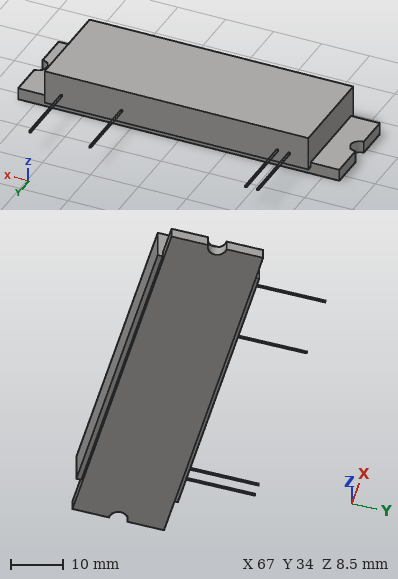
import cadquery as cq

base_length = 67.0
base_width = 18.0
base_height = 2.5
notch_radius = 1.8

overall_height = 8.5
housing_length = 55.0
housing_width = 19.95
housing_bottom = 1.5
housing_height = overall_height - housing_bottom

overall_depth = 34.0
pin_diameter = 0.4
pin_length = overall_depth - housing_width
pin_height = 4.0
first_pin_x = -23.5
pin_gaps = [2.5, 32.5, 12.5]
pin_positions = [first_pin_x + sum(pin_gaps[:index]) for index in range(len(pin_gaps) + 1)]
pin_embed = 0.7


def make_base():
    """Flat plate centred on Z, with notches centred on its end faces."""
    plate = cq.Workplane("XY").box(base_length, base_width, base_height, centered=(True, True, False))
    notches = (
        cq.Workplane("XY")
        .pushPoints([(-base_length / 2, 0), (base_length / 2, 0)])
        .circle(notch_radius)
        .extrude(base_height)
    )
    return plate.cut(notches)


def make_housing():
    """Plain block set down over the middle of the base."""
    return (
        cq.Workplane("XY")
        .workplane(offset=housing_bottom)
        .box(housing_length, housing_width, housing_height, centered=(True, True, False))
    )


def make_pin(x):
    """Straight round pin pointing along +Y."""
    start = cq.Vector(x, housing_width / 2 - pin_embed, pin_height)
    pin = cq.Solid.makeCylinder(pin_diameter / 2, pin_length + pin_embed, start, cq.Vector(0, 1, 0))
    return cq.Workplane(obj=pin)


result = make_base().union(make_housing())
for pin_x in pin_positions:
    result = result.union(make_pin(pin_x))